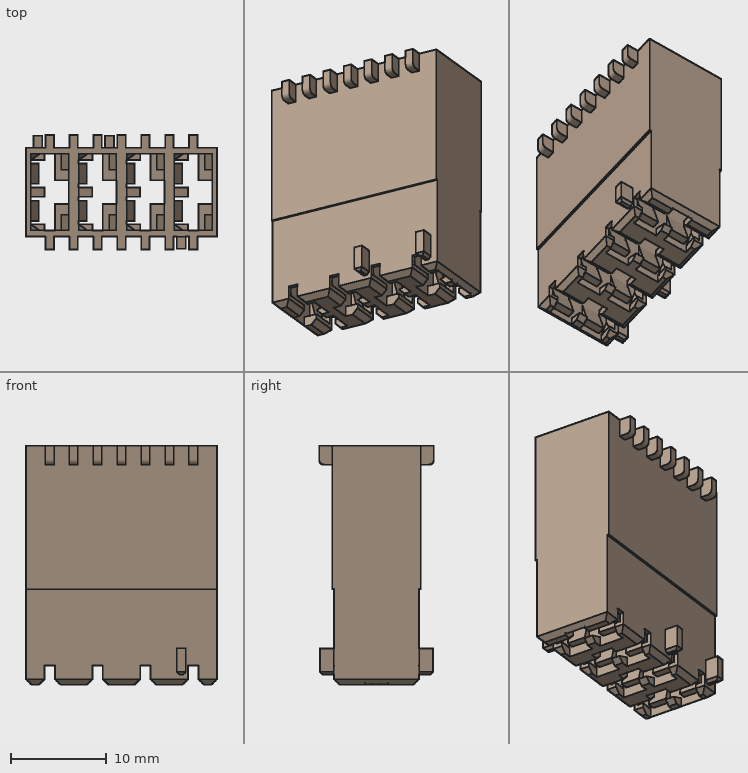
import cadquery as cq

length = 20.0
height = 25.0
overall_depth = 12.0
upper_depth = 9.3
lower_depth = 8.9
step_z = 10.0

cavity_count = 4
cavity_pitch = length / cavity_count
divider = 1.05
cavity_length = cavity_pitch - divider
cavity_depth = 8.0
floor_z = 1.1

notch_width = 1.05
notch_height = 2.0
foot_chamfer = 0.6

rib_pitch = cavity_pitch / 2
rib_width = 0.9
rib_height = 2.0
rib_radius = 0.5

key_width = 0.95
key_reach = 5.92
key_bottom = 1.05
key_top = 3.8
key_chamfer = 0.3
front_key_x = [6.25]
back_key_x = [-8.75, -1.25]

corner_block_depth = 0.65
tab_width = 1.0
tab_drop = 0.52
gusset_length = 0.9
gusset_height = 2.5
latch_reach = 0.85
latch_inner_y = 0.88
latch_outer_y = 3.02
latch_height = 3.12
pad_inner_y = 1.22
wedge_inner_y = 2.35
wedge_reach = 0.78
wedge_height = 3.0

cavity_centres = [(i - (cavity_count - 1) / 2) * cavity_pitch for i in range(cavity_count)]
half_notch = notch_width / 2
half_cavity = cavity_length / 2
half_depth = cavity_depth / 2


def block(x0, x1, y0, y1, z0, z1):
    """Box between opposite corners, given in any order along Y."""
    size = (x1 - x0, abs(y1 - y0), z1 - z0)
    return cq.Workplane("XY").box(*size, centered=False).translate((x0, min(y0, y1), z0))


def ramp(points, y0, y1):
    """Prism with an XZ outline between two Y positions."""
    front, back = min(y0, y1), max(y0, y1)
    return cq.Workplane("XZ", origin=(0, front, 0)).polyline(points).close().extrude(front - back)


def foot(x0, x1):
    """Foot between two notches, chamfered all round its lower end."""
    bar = block(x0, x1, -lower_depth / 2, lower_depth / 2, 0, notch_height)
    return bar.faces("<Z").edges().chamfer(foot_chamfer)


def outer_body():
    """Solid stepped housing standing on its row of feet."""
    body = block(-length / 2, length / 2, -upper_depth / 2, upper_depth / 2, step_z, height)
    body = body.union(
        block(-length / 2, length / 2, -lower_depth / 2, lower_depth / 2, notch_height, step_z)
    )
    starts = [-length / 2] + [x + half_notch for x in cavity_centres]
    ends = [x - half_notch for x in cavity_centres] + [length / 2]
    for x0, x1 in zip(starts, ends):
        body = body.union(foot(x0, x1))
    return body


def rib(x, side):
    """Rim rib on the side -1 (-Y) or 1 (+Y), rounded at its lower outer edge."""
    outer_y = side * overall_depth / 2
    bar = block(
        x - rib_width / 2, x + rib_width / 2, side * half_depth, outer_y, height - rib_height, height
    )
    outer_face = ">Y" if side > 0 else "<Y"
    return bar.faces(outer_face).edges("<Z").fillet(rib_radius)


def key(x, side):
    """Key on the side -1 (-Y) or 1 (+Y), chamfered round its exposed lower edges."""
    bar = block(
        x - key_width / 2, x + key_width / 2, side * half_depth, side * key_reach, key_bottom, key_top
    )
    inner_face = "<Y" if side > 0 else ">Y"
    inner_edge = cq.selectors.StringSyntaxSelector(inner_face)
    return bar.faces("<Z").edges(cq.selectors.InverseSelector(inner_edge)).chamfer(key_chamfer)


def corner_gusset(left, side):
    """Steep three-sided pyramid in the corner above a corner block."""
    wall_y = side * half_depth
    corner = cq.Vector(left, wall_y, floor_z)
    along_x = cq.Vector(left + gusset_length, wall_y, floor_z)
    along_y = cq.Vector(left, wall_y - side * corner_block_depth, floor_z)
    apex = cq.Vector(left, wall_y, floor_z + gusset_height)
    triangles = [
        (corner, along_x, along_y),
        (corner, along_x, apex),
        (corner, along_y, apex),
        (along_x, along_y, apex),
    ]
    faces = [cq.Face.makeFromWires(cq.Wire.makePolygon(t, close=True)) for t in triangles]
    return cq.Workplane(cq.Solid.makeSolid(cq.Shell.makeShell(faces)))


def cavity_cut(x):
    """Space to remove from the solid body: the whole cavity less what stands inside it."""
    left = x - half_cavity
    right = x + half_cavity
    notch_left = x - half_notch
    notch_right = x + half_notch
    tab_outline = [(left, 0), (notch_left, 0), (notch_left, floor_z - tab_drop), (left, floor_z)]
    latch_outline = [(left, floor_z), (left + latch_reach, floor_z), (left, floor_z + latch_height)]
    wedge_outline = [(right, floor_z), (right - wedge_reach, floor_z), (right, floor_z + wedge_height)]

    space = block(left, right, -half_depth, half_depth, 0, height)
    space = space.cut(ramp(tab_outline, -tab_width / 2, tab_width / 2))
    for side in (-1, 1):
        wall_y = side * half_depth
        block_y = side * (half_depth - corner_block_depth)
        space = space.cut(block(left, notch_left, block_y, wall_y, 0, floor_z))
        space = space.cut(corner_gusset(left, side))
        space = space.cut(block(notch_right, right, side * pad_inner_y, wall_y, 0, floor_z))
        space = space.cut(ramp(wedge_outline, side * wedge_inner_y, wall_y))
        space = space.cut(ramp(latch_outline, side * latch_inner_y, side * latch_outer_y))
    return space


result = outer_body()
rib_count = 2 * cavity_count - 1
for i in range(rib_count):
    rib_x = (i - (rib_count - 1) / 2) * rib_pitch
    for side in (-1, 1):
        result = result.union(rib(rib_x, side))
for key_x in front_key_x:
    result = result.union(key(key_x, -1))
for key_x in back_key_x:
    result = result.union(key(key_x, 1))
for cavity_x in cavity_centres:
    result = result.cut(cavity_cut(cavity_x))